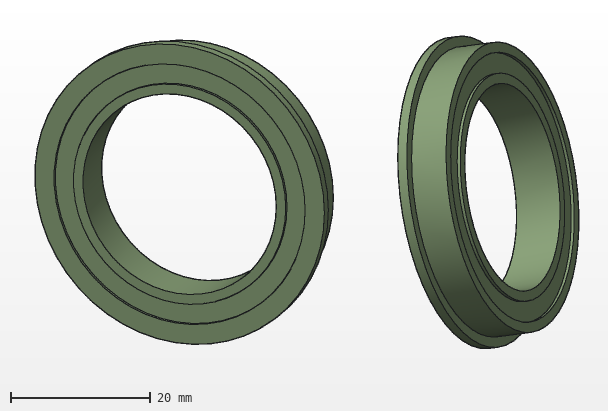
import cadquery as cq

flange_diameter = 45.0
body_diameter = 42.0
bore_diameter = 30.0
width = 7.0
flange_thickness = 1.5

recess_inner_diameter = 33.0
recess_outer_diameter = 39.0
recess_depth = 0.5

front_y = -width / 2
back_y = width / 2


def ring(outer_diameter, inner_diameter, start_y, length):
    """Ring around the Y axis, extending toward +Y from start_y."""
    return (
        cq.Workplane("XZ", origin=(0, start_y, 0))
        .circle(outer_diameter / 2)
        .circle(inner_diameter / 2)
        .extrude(-length)
    )


body = ring(body_diameter, bore_diameter, front_y, width)
flange = ring(flange_diameter, bore_diameter, front_y, flange_thickness)
result = body.union(flange)

for recess_y in (front_y, back_y - recess_depth):
    recess = ring(recess_outer_diameter, recess_inner_diameter, recess_y, recess_depth)
    result = result.cut(recess)